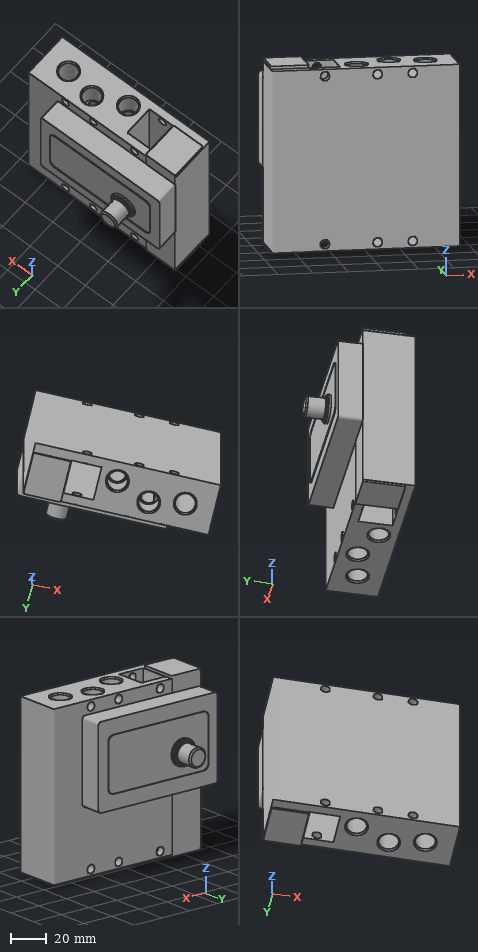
import cadquery as cq


BLOCK_LENGTH = 106.7
BLOCK_DEPTH = 30.0
BLOCK_HEIGHT = 104.0
BLOCK_EDGE_RADIUS = 0.4

INSERT_LEFT = 0.2
INSERT_RIGHT = 21.7
INSERT_FRONT = 5.6
INSERT_BEHIND = 0.1
INSERT_BACK = BLOCK_DEPTH + INSERT_BEHIND
INSERT_ABOVE = 1.7
INSERT_BELOW = 1.3
INSERT_EDGE_RADIUS = 1.0

WINDOW_GAP = 0.3
WINDOW_LEFT = INSERT_RIGHT + WINDOW_GAP
WINDOW_RIGHT = 39.3
WINDOW_FRONT = 5.2
WINDOW_BACK = 24.8
WINDOW_CORNER_RADIUS = 0.4

STEPPED_PORT = (49.8, 11.0)
SLOTTED_PORT = (69.7, 19.0)
PLAIN_PORT = (89.8, 15.1)
PORT_RADIUS = 5.7
PORT_CHAMFER = 0.9
PORT_BORE_DEPTH = 15.0
PASSAGE_RADIUS = 4.8
SLOT_WIDTH = 7.3

MOUNT_HOLE_RADIUS = 2.6
MOUNT_HOLE_XS = (29.9, 59.8, 79.8)
MOUNT_HOLE_EDGE_GAP = 4.0

COVER_LENGTH = 86.0
COVER_BACK = 44.2
COVER_BOTTOM = 41.6
COVER_HEIGHT = 53.9
COVER_CORNER_RADIUS = 2.0

PLATE_LEFT = 6.7
PLATE_LENGTH = 72.3
PLATE_HEIGHT = 35.0
PLATE_THICKNESS = 0.4
PLATE_CORNER_RADIUS = 4.0
PLATE_BACK = COVER_BACK + PLATE_THICKNESS

CONNECTOR_X = 25.6
CONNECTOR_Z = 65.4
WASHER_RADIUS = 8.2
WASHER_BACK = 46.5
WASHER_CHAMFER = 0.6
NUT_ACROSS_CORNERS = 14.9
NUT_BACK = 47.3
SHAFT_RADIUS = 6.0
SHAFT_BACK = 58.4
SHAFT_CHAMFER = 1.0


def box(x_range, y_range, z_range):
    """Box spanning the given (low, high) ranges."""
    size = [high - low for low, high in (x_range, y_range, z_range)]
    return cq.Workplane("XY").box(*size, centered=False).translate((x_range[0], y_range[0], z_range[0]))


def rear_plane(x, y, z):
    """Workplane facing the back (+Y), with its local Y pointing up."""
    return cq.Workplane(cq.Plane(origin=(x, y, z), xDir=(-1, 0, 0), normal=(0, 1, 0)))


def vertical_cylinder(center, radius):
    """Cylinder through the full height of the block."""
    return cq.Workplane("XY").center(*center).circle(radius).extrude(BLOCK_HEIGHT)


def make_block():
    block = box((0, BLOCK_LENGTH), (0, BLOCK_DEPTH), (0, BLOCK_HEIGHT))
    return block.edges("|Z").fillet(BLOCK_EDGE_RADIUS)


def make_insert():
    z_range = (-INSERT_BELOW, BLOCK_HEIGHT + INSERT_ABOVE)
    insert = box((INSERT_LEFT, INSERT_RIGHT), (INSERT_FRONT, INSERT_BACK), z_range)
    return insert.edges("|Z").fillet(INSERT_EDGE_RADIUS)


def make_window():
    window = box((WINDOW_LEFT, WINDOW_RIGHT), (WINDOW_FRONT, WINDOW_BACK), (0, BLOCK_HEIGHT))
    return window.edges("|Z and >Y").fillet(WINDOW_CORNER_RADIUS)


def port_mouth(center, depth):
    """Chamfered bore going down from the top face of the block."""
    rim = PORT_RADIUS + PORT_CHAMFER
    profile = [
        (0, 0),
        (rim, 0),
        (PORT_RADIUS, -PORT_CHAMFER),
        (PORT_RADIUS, -depth),
        (0, -depth),
    ]
    mouth = cq.Workplane("XZ").polyline(profile).close().revolve(360, (0, 0), (0, 1))
    return mouth.translate((*center, BLOCK_HEIGHT))


def make_port(center, depth):
    """Matching mouths at the top and bottom of the block."""
    mouth = port_mouth(center, depth)
    return mouth.union(mouth.mirror("XY", (0, 0, BLOCK_HEIGHT / 2)))


def make_slot_passage():
    """Round passage narrowed by two flats."""
    x, y = SLOTTED_PORT
    flats = box(
        (x - SLOT_WIDTH / 2, x + SLOT_WIDTH / 2),
        (y - PASSAGE_RADIUS, y + PASSAGE_RADIUS),
        (0, BLOCK_HEIGHT),
    )
    return vertical_cylinder(SLOTTED_PORT, PASSAGE_RADIUS).intersect(flats)


def make_mount_holes():
    heights = (MOUNT_HOLE_EDGE_GAP, BLOCK_HEIGHT - MOUNT_HOLE_EDGE_GAP)
    centers = [(-x, z) for x in MOUNT_HOLE_XS for z in heights]
    return rear_plane(0, 0, 0).pushPoints(centers).circle(MOUNT_HOLE_RADIUS).extrude(BLOCK_DEPTH)


def make_cover():
    cover_z = (COVER_BOTTOM, COVER_BOTTOM + COVER_HEIGHT)
    cover = box((0, COVER_LENGTH), (BLOCK_DEPTH, COVER_BACK), cover_z)
    cover = cover.edges("|Y").fillet(COVER_CORNER_RADIUS)

    plate_bottom = COVER_BOTTOM + (COVER_HEIGHT - PLATE_HEIGHT) / 2
    plate = box(
        (PLATE_LEFT, PLATE_LEFT + PLATE_LENGTH),
        (COVER_BACK, PLATE_BACK),
        (plate_bottom, plate_bottom + PLATE_HEIGHT),
    )
    return cover.union(plate.edges("|Y").fillet(PLATE_CORNER_RADIUS))


def make_connector():
    washer = rear_plane(CONNECTOR_X, PLATE_BACK, CONNECTOR_Z).circle(WASHER_RADIUS)
    washer = washer.extrude(WASHER_BACK - PLATE_BACK).faces(">Y").chamfer(WASHER_CHAMFER)

    nut = rear_plane(CONNECTOR_X, WASHER_BACK, CONNECTOR_Z).transformed(rotate=(0, 0, 90))
    nut = nut.polygon(6, NUT_ACROSS_CORNERS).extrude(NUT_BACK - WASHER_BACK)

    shaft = rear_plane(CONNECTOR_X, NUT_BACK, CONNECTOR_Z).circle(SHAFT_RADIUS)
    shaft = shaft.extrude(SHAFT_BACK - NUT_BACK).faces(">Y").chamfer(SHAFT_CHAMFER)
    return washer.union(nut).union(shaft)


result = (
    make_block()
    .cut(make_window())
    .cut(make_port(STEPPED_PORT, PORT_BORE_DEPTH))
    .cut(vertical_cylinder(STEPPED_PORT, PASSAGE_RADIUS))
    .cut(make_port(SLOTTED_PORT, PORT_BORE_DEPTH))
    .cut(make_slot_passage())
    .cut(make_port(PLAIN_PORT, BLOCK_HEIGHT / 2))
    .cut(make_mount_holes())
    .union(make_insert())
    .union(make_cover())
    .union(make_connector())
)